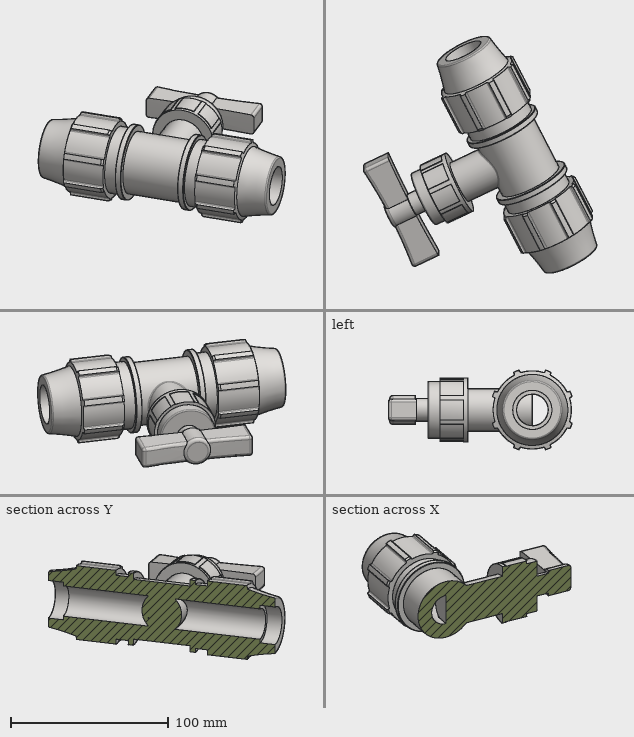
import cadquery as cq
import math

run_length = 154.0
run_diameter = 40.5
bore_diameter = 20.0
socket_diameter = 25.0
socket_depth = 10.2
neck_diameter = 43.3
collar_diameter = 48.7
collar_inner_x = 19.1
collar_width = 3.8
collar_chamfer = 0.3

nut_inner_x = 31.0
nut_outer_x = 58.5
nut_diameter = 49.9
nut_face_setback = 1.2
nose_base_diameter = 45.3
nose_tip_diameter = 37.5
nose_sag = 0.3
nose_fillet = 1.0

rib_count = 8
rib_tip_radius = 26.8
rib_overlap = 0.8
rib_root_radius = nut_diameter / 2 - rib_overlap
rib_root_width = 4.3
rib_tip_width = 3.7
rib_root_fillet = 0.6
rib_bevel_length = 1.4
rib_bevel_height = 0.8

branch_diameter = 27.3
branch_fillet = 0.8
sleeve_diameter = 41.0
sleeve_start_y = 41.0
sleeve_end_y = 58.8
panel_start_y = 43.7
panel_diameter = 40.3
panel_count = 8
panel_width = 12.6
bonnet_diameter = 36.3
bonnet_end_y = 66.5
bonnet_fillet = 0.8
stem_diameter = 14.6

handle_length = 72.7
handle_thickness = 13.9
handle_tip_y = 92.0
handle_waist_y = 90.0
handle_foot_y = 73.6
handle_arch_y = 74.5
handle_fillet = 2.0
hub_diameter = 18.5
hub_end_y = 91.0
hub_fillet = 2.3


def disc_x(diameter, start, end):
    """Cylinder on the X axis between two X positions."""
    return cq.Workplane("YZ").workplane(offset=start).circle(diameter / 2).extrude(end - start)


def disc_y(diameter, start, end):
    """Cylinder on the Y axis between two Y positions."""
    return cq.Workplane("XZ").workplane(offset=-start).circle(diameter / 2).extrude(start - end)


def make_nose():
    """Tapered nut end, slightly hollow in profile."""
    tip_x = run_length / 2
    tip_r = nose_tip_diameter / 2
    base_r = nose_base_diameter / 2
    middle = ((tip_x + nut_outer_x) / 2, (tip_r + base_r) / 2 - nose_sag)
    profile = (
        cq.Workplane("XY")
        .moveTo(nut_inner_x, 0)
        .lineTo(nut_inner_x, base_r)
        .lineTo(nut_outer_x, base_r)
        .threePointArc(middle, (tip_x, tip_r))
        .lineTo(tip_x, 0)
        .close()
    )
    nose = profile.revolve(360, (0, 0, 0), (1, 0, 0))
    return nose.faces(">X").edges().fillet(nose_fillet)


def make_nut():
    """Round nut with grip ribs; one shallow cone faces off the barrel and the ribs together."""
    barrel_r = nut_diameter / 2
    base_r = nose_base_diameter / 2
    envelope = (
        cq.Workplane("XY")
        .polyline([
            (nut_inner_x, 0),
            (nut_inner_x, rib_tip_radius - rib_bevel_height),
            (nut_inner_x + rib_bevel_length, rib_tip_radius),
            (nut_outer_x - nut_face_setback, rib_tip_radius),
            (nut_outer_x, base_r),
            (nut_outer_x, 0),
        ])
        .close()
        .revolve(360, (0, 0, 0), (1, 0, 0))
    )
    nut = disc_x(nut_diameter, nut_inner_x, nut_outer_x)
    rib = (
        cq.Workplane("YZ")
        .workplane(offset=nut_inner_x)
        .polyline([
            (-rib_root_width / 2, rib_root_radius),
            (-rib_tip_width / 2, rib_tip_radius),
            (rib_tip_width / 2, rib_tip_radius),
            (rib_root_width / 2, rib_root_radius),
        ])
        .close()
        .extrude(nut_outer_x - nut_inner_x)
    )
    pitch = 360 / rib_count
    for i in range(rib_count):
        nut = nut.union(rib.rotate((0, 0, 0), (1, 0, 0), (i + 0.5) * pitch))
    roots = nut.edges("|X").filter(
        lambda edge: math.hypot(edge.Center().y, edge.Center().z) < (barrel_r + rib_tip_radius) / 2
        and abs(edge.Center().z) > rib_root_width
    )
    return nut.newObject(roots.vals()).fillet(rib_root_fillet).intersect(envelope)


def make_end():
    """Neck, collar, nut and nose on the +X side."""
    collar = disc_x(collar_diameter, collar_inner_x, collar_inner_x + collar_width)
    neck = disc_x(neck_diameter, collar_inner_x, nut_inner_x)
    return neck.union(collar.edges().chamfer(collar_chamfer)).union(make_nut()).union(make_nose())


def make_tee(branch):
    """Plain run pipe and branch with a filleted joint, before boring."""
    pipe = disc_x(run_diameter, -nut_inner_x, nut_inner_x)
    tee = pipe.union(branch)
    reach = branch_diameter / 2 + branch_fillet
    joint = cq.selectors.BoxSelector((-reach, 0, -reach), (reach, run_diameter / 2 + branch_fillet, reach))
    return tee.edges(joint).fillet(branch_fillet)


def cut_bore(body):
    """Through bore with a wider pipe socket at each end."""
    half = run_length / 2
    body = body.cut(disc_x(bore_diameter, -half, half))
    for side in (-1, 1):
        body = body.cut(disc_x(socket_diameter, side * (half - socket_depth), side * half))
    return body


def make_sleeve():
    """Grip sleeve with shallow panels sunk into its side, open toward the bonnet."""
    sleeve = disc_y(sleeve_diameter, sleeve_start_y, sleeve_end_y)
    panel_length = sleeve_end_y - panel_start_y
    panel = (
        cq.Workplane("XY")
        .box(panel_width, panel_length, sleeve_diameter, centered=(True, False, False))
        .translate((0, panel_start_y, 0))
        .cut(disc_y(panel_diameter, panel_start_y, sleeve_end_y))
    )
    for i in range(panel_count):
        sleeve = sleeve.cut(panel.rotate((0, 0, 0), (0, 1, 0), i * 360 / panel_count))
    return sleeve


def make_handle():
    """Waisted bar with a round hub at its middle."""
    half = handle_length / 2
    bar = (
        cq.Workplane("XY")
        .workplane(offset=-handle_thickness / 2)
        .moveTo(-half, handle_foot_y)
        .threePointArc((0, handle_arch_y), (half, handle_foot_y))
        .lineTo(half, handle_tip_y)
        .threePointArc((0, handle_waist_y), (-half, handle_tip_y))
        .close()
        .extrude(handle_thickness)
    )
    bar = bar.edges("|Y").fillet(handle_fillet).faces(">Y").edges().fillet(handle_fillet)
    hub = disc_y(hub_diameter, handle_arch_y, hub_end_y).faces(">Y").edges().fillet(hub_fillet)
    return bar.union(hub)


bonnet = disc_y(bonnet_diameter, sleeve_start_y, bonnet_end_y).faces(">Y").edges().fillet(bonnet_fillet)
stem = disc_y(stem_diameter, bonnet_end_y, handle_arch_y)

branch = disc_y(branch_diameter, 0, sleeve_start_y)
end = make_end()
result = cut_bore(make_tee(branch).union(end).union(end.mirror("YZ"))).union(branch)
result = result.union(make_sleeve()).union(bonnet).union(stem).union(make_handle())